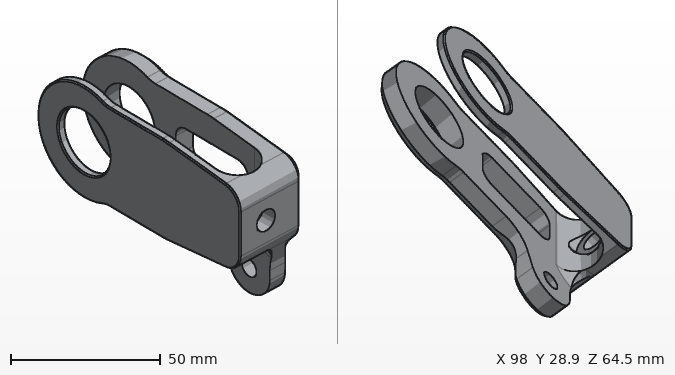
import cadquery as cq
import math


length = 98.0
height = 64.5

front_thickness = 3.0
slot_width = 17.9
back_thickness = 8.0
end_wall = 6.0
slot_back_y = front_thickness + slot_width
slot_mid_y = front_thickness + slot_width / 2
back_y = slot_back_y + back_thickness

eye_radius = 45.0 / 2
body_half_height = 20.0
neck_radius = 10.0
bend_x = 39.2
bend_radius = 30.0
taper_angle = 6.0
corner_radius = 8.0
end_x = length - eye_radius
slot_end_x = end_x - end_wall
slot_radius = slot_width / 2

lug_x = 58.0
lug_radius = 10.0
lug_z = eye_radius + lug_radius - height
lug_lean = 20.0
lug_left_fillet = 12.0
lug_right_fillet = 20.0
lug_root_fillet = 6.0
root_overlap = 1.0

front_chamfer = 0.5
back_chamfer = 2.0
bore_chamfer = 0.5
lug_chamfer = 1.0
back_slope = 45.0
back_lug_fillet = 10.0

bore_diameter = 25.0
lug_hole_diameter = 7.0
bolt_hole_diameter = 8.4
bolt_seat_diameter = 15.0

window_start_x = 22.5
window_length = 34.9
window_height = 18.0
window_corner = 5.0

coincident = 9.8e-07

neck_z = body_half_height + neck_radius
neck_x = math.sqrt((eye_radius + neck_radius) ** 2 - neck_z ** 2)
neck_angle = math.degrees(math.atan2(neck_z, neck_x))
bend_arc_x = bend_x - bend_radius * math.tan(math.radians(taper_angle / 2))
bend_arc_z = body_half_height - bend_radius
corner_x = end_x - corner_radius
corner_z = (
    body_half_height
    - (corner_x - bend_x) * math.tan(math.radians(taper_angle))
    - corner_radius / math.cos(math.radians(taper_angle))
)


def lug_arcs(inset, radius, lean, left_fillet, right_fillet):
    """Arcs from the lower end corner around the lug and back to the body's underside."""
    corner = corner_radius - inset
    right_x = lug_x + radius + right_fillet
    corner_turn = math.degrees(math.acos((right_x - corner_x) / (corner + right_fillet)))
    right_z = -corner_z - (corner + right_fillet) * math.sin(math.radians(corner_turn))
    left_z = inset - body_half_height - left_fillet
    drop = (left_z - lug_z) * math.sin(math.radians(lean))
    left_x = lug_x - (radius + left_fillet + drop) / math.cos(math.radians(lean))
    return [
        (corner_x, -corner_z, corner, 0, -corner_turn),
        (right_x, right_z, right_fillet, 180 - corner_turn, 180),
        (lug_x, lug_z, radius, 0, lean - 180),
        (left_x, left_z, left_fillet, lean, 90),
    ]


def outline_arcs(inset=0.0, lug=None):
    """Clockwise arcs (centre X, centre Z, radius, start angle, end angle) of the outline."""
    tilt = 90 - taper_angle
    neck = neck_radius + inset
    bend = bend_radius - inset
    corner = corner_radius - inset
    plain_underside = [
        (corner_x, -corner_z, corner, 0, -tilt),
        (bend_arc_x, -bend_arc_z, bend, -tilt, -90),
    ]
    return [
        (0, 0, eye_radius - inset, 360 - neck_angle, neck_angle),
        (neck_x, neck_z, neck, 180 + neck_angle, 270),
        (bend_arc_x, bend_arc_z, bend, 90, tilt),
        (corner_x, corner_z, corner, tilt, 0),
        *(lug or plain_underside),
        (neck_x, -neck_z, neck, 90, 180 - neck_angle),
    ]


def draw_outline(y, arcs):
    """Closed XZ outline at the given Y: the arcs in order, joined by tangent lines."""

    def point(arc, angle):
        x, z, radius = arc[:3]
        turn = math.radians(angle)
        return (x + radius * math.cos(turn), z + radius * math.sin(turn))

    last = point(arcs[0], arcs[0][3])
    sketch = cq.Workplane("XZ", origin=(0, y, 0)).moveTo(*last)
    for arc in arcs:
        start, end = arc[3:]
        if math.dist(point(arc, start), last) > coincident:
            sketch = sketch.lineTo(*point(arc, start))
        last = point(arc, end)
        sketch = sketch.threePointArc(point(arc, (start + end) / 2), last)
    return sketch.close()


def drill(diameter, x, z):
    """Cylinder along Y through the full width."""
    return cq.Workplane("XZ", origin=(x, 0, z)).circle(diameter / 2).extrude(-back_y)


side_lug = lug_arcs(0, lug_radius, lug_lean, lug_left_fillet, lug_right_fillet)
side_arcs = outline_arcs(0, side_lug)
back_lug = lug_arcs(back_chamfer, lug_radius - lug_chamfer, 0, back_lug_fillet, back_lug_fillet)
back_arcs = outline_arcs(back_chamfer, back_lug)

block = draw_outline(0, outline_arcs()).extrude(-slot_back_y)
block = block.cut(drill(bore_diameter, 0, 0))
block = block.faces("<Y").edges().chamfer(front_chamfer)

taper = math.radians(taper_angle)
rim_x = slot_end_x - slot_radius
rim_z = (rim_x - bend_x) * math.tan(taper) - body_half_height
ball_drop = slot_radius - lug_root_fillet
ball_y = slot_back_y - lug_root_fillet
rim_length = math.sqrt(slot_radius**2 - ball_drop**2)


def ball_centre(travel):
    """Ball centre after it has travelled this far along the tapered underside from the rim's start."""
    rim_gap = slot_radius - math.hypot(travel, ball_drop)
    offset = math.sqrt(lug_root_fillet**2 - rim_gap**2)
    return (
        rim_x + travel * math.cos(taper) + offset * math.sin(taper),
        rim_z + travel * math.sin(taper) - offset * math.cos(taper),
    )


def rolled_fillet(start, middle, end):
    """Web between the ball's circular path and the body, hollowed by the rolling ball."""
    body_side = (corner_x, -corner_z)
    web = cq.Workplane("XZ", origin=(0, slot_back_y + root_overlap, 0)).moveTo(*start)
    web = web.threePointArc(middle, end).lineTo(*body_side)
    web = web.close().extrude(lug_root_fillet + root_overlap)
    path = cq.Edge.makeThreePointArc(*[cq.Vector(x, ball_y, z) for x, z in (start, middle, end)])
    ball_sweep = cq.Solid.makeTorus(path.radius(), lug_root_fillet, path.arcCenter(), cq.Vector(0, 1, 0))
    return web.cut(cq.Workplane(ball_sweep))


def corner_ball(angle):
    """Ball centre while it rolls around the lower end corner."""
    turn = math.radians(angle)
    reach = corner_radius + lug_root_fillet
    return (corner_x + reach * math.cos(turn), reach * math.sin(turn) - corner_z)


corner_start = corner_ball(taper_angle - 90)
root = rolled_fillet(ball_centre(0), ball_centre(rim_length / 2), corner_start)
root = root.union(rolled_fillet(corner_start, corner_ball(-45), corner_ball(0)))
root = root.intersect(draw_outline(0, side_arcs).extrude(-back_y))

cheek = draw_outline(slot_back_y, side_arcs).extrude(-back_thickness)
cheek = cheek.intersect(draw_outline(back_y, back_arcs).extrude(back_thickness, taper=-back_slope))

result = block.union(root).union(cheek)

slot_length = 2 * length
slot = (
    cq.Workplane("XY", origin=(slot_end_x - slot_length / 2, slot_mid_y, 0))
    .slot2D(slot_length, slot_width)
    .extrude(height, both=True)
)
result = result.cut(slot)

result = result.cut(drill(bore_diameter, 0, 0))
bore_mouth = (
    cq.Workplane("XZ", origin=(0, back_y, 0))
    .circle(bore_diameter / 2 + bore_chamfer)
    .extrude(bore_chamfer, taper=back_slope)
)
result = result.cut(bore_mouth)
result = result.cut(drill(lug_hole_diameter, lug_x, lug_z))

bolt_axis = cq.Workplane("YZ", origin=(slot_end_x, slot_mid_y, 0))
result = result.cut(bolt_axis.circle(bolt_hole_diameter / 2).extrude(end_wall))
result = result.cut(bolt_axis.circle(bolt_seat_diameter / 2).extrude(-slot_width / 2))

window = (
    cq.Workplane("XZ", origin=(window_start_x + window_length / 2, slot_back_y, 0))
    .rect(window_length, window_height)
    .extrude(-back_thickness)
    .edges("|Y")
    .fillet(window_corner)
)
result = result.cut(window)